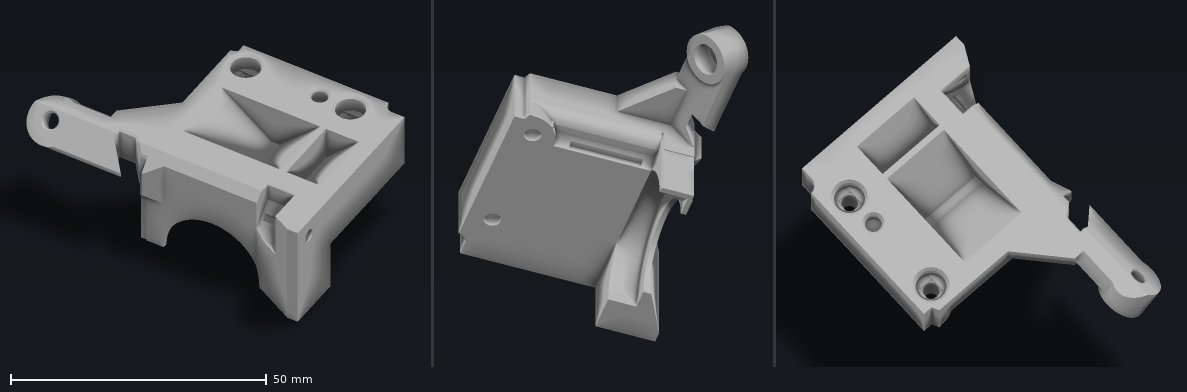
import math
import cadquery as cq

LENGTH, DEPTH, HEIGHT = 65.0, 42.5, 23.0
MARGIN = 3.25

PLATE_BOTTOM = 11.05
BODY_LEFT = 25.5
WALL_LEFT = 25.7
FRONT_FACE = 5.45
WALL_BACK = 12.4
WALL_CHAMFER = 0.6
RIGHT_STEP_Y, RIGHT_STEP_X = 40.5, 61.9
RIGHT_STEP_MID, RIGHT_STEP_END = (60.65, 41.15), 60.05
LEFT_STEP_X, LEFT_STEP_TOP, LEFT_STEP_BOTTOM = 26.9, 40.4, 39.8
WEDGE_START, WEDGE_END = 52.2, 62.6
STRIP_RIGHT = 27.1
STRIP_RELIEF = 0.2

BRACKET_BOTTOM = 18.4
BRACKET_CORNER = (15.65, 12.95)
BRACKET_TOP_Y = 21.7

SLANT = 48.0
SLANT_TOP_Y = 7.2

ARM_RADIUS = 5.0
ARM_STRETCH = 0.4
ARM_FRONT = -7.75
ARM_OVERLAP = 0.65
ARM_THICKNESS = 5.5
PAD_THICKNESS = 6.7
ARM_FRONT_TRIM = 2.5
ARM_HOLE_D, ARM_HOLE_CHAMFER = 3.3, 0.3
ARM_BORE_D, ARM_BORE_START = 6.3, 2.2
PAD_CENTRE = ARM_FRONT + ARM_RADIUS + ARM_STRETCH / 2

NOTCH_LEFT, NOTCH_BACK = 19.2, 8.3
NOTCH_KNEE_Y = 6.3
NOTCH_BACK_RIGHT = 22.8
NOTCH_CHAMFER = 0.4
NOTCH_RIM_LOW = 20.9
PICK = 0.05

CATCH_FRONT = 3.6
CATCH_TIP, CATCH_END = 27.55, 31.1
CATCH_BOTTOM = 11.3
CATCH_OVERLAP = 0.65

ARCH_X, ARCH_RADIUS = 42.1, 11.1
LIP_BACK, CAVITY_RADIUS = 6.55, 15.3

SCREW_Y = 37.5
SCREW_XS = (30.4, 54.4)
BORE_D, BORE_DEPTH = 6.2, 3.5
SCREW_D = 3.3
BRIDGE_STEP = 0.3
PIN_X, PIN_D, PIN_DEPTH = 47.4, 3.4, 3.25
RIM_CHAMFER = 0.5

POCKET_FRONT, POCKET_BACK = 14.5, 29.5
POCKET_FLOOR = 14.1
HOPPER_LEFT, HOPPER_RIGHT = 29.6, 52.3
FLOOR_LEFT, FLOOR_RIGHT = 41.15, 43.1
RAMP_LEFT, RAMP_RIGHT = 53.6, 61.15
POCKET_PROFILES = [
    [(HOPPER_LEFT, HEIGHT), (FLOOR_LEFT, POCKET_FLOOR), (FLOOR_RIGHT, POCKET_FLOOR), (HOPPER_RIGHT, HEIGHT)],
    [(RAMP_LEFT, HEIGHT), (RAMP_LEFT, HEIGHT - (RAMP_RIGHT - RAMP_LEFT)), (RAMP_RIGHT, HEIGHT)],
]

SEAT_LEFT, SEAT_RIGHT, SEAT_BACK = 52.3, 58.45, 9.55
SEAT_WALL_BOTTOM, SEAT_FLOOR, SEAT_FLOOR_Y = 19.05, 13.1, 4.2
CROSS_HOLE_D, CROSS_HOLE_Y, CROSS_HOLE_Z = 2.8, 4.3, 19.25

SEAT_RIM = 0.25

SEAT_SLOT_X, SEAT_SLOT_SHIFT = 55.2, 0.04
SEAT_SLOT_LENGTH, SEAT_SLOT_WIDTH, SEAT_SLOT_DEPTH, SEAT_SLOT_FLARE = 4.5, 1.2, 0.8, 0.3

RECESS_TOP, RECESS_CEILING = 15.65, 12.7
RECESS_BACK, RECESS_RIGHT = 39.2, 31.85
SHOULDER_DEPTH, SHOULDER_MID = 2.2, (26.1, 13.85)
STEP_X, STEP_MID = 29.6, (30.95, 12.0)
ROUND_CENTRE, ROUND_RADIUS = (31.85, 38.9), 6.25
GROOVE_BOTTOM, GROOVE_TOP, GROOVE_RIGHT = 11.4, 12.3, 31.85
RIB_LEFT, RIB_RIGHT, RIB_FRONT, RIB_BACK = 27.1, 27.95, 34.3, 34.85


def prism(points, bottom, top):
    """Vertical prism over an XY outline."""
    return cq.Workplane("XY").workplane(offset=bottom).polyline(points).close().extrude(top - bottom)


def side_prism(points, left, right):
    """Prism along X over a YZ outline."""
    return cq.Workplane("YZ").workplane(offset=left).polyline(points).close().extrude(right - left)


def box(x0, x1, y0, y1, z0, z1):
    return prism([(x0, y0), (x1, y0), (x1, y1), (x0, y1)], z0, z1)


def slant_plane():
    """Workplane on the slanted plane: local x is X, local y climbs the slope."""
    a = math.radians(SLANT)
    return cq.Workplane(cq.Plane((0, SLANT_TOP_Y, HEIGHT), (1, 0, 0), (0, -math.sin(a), math.cos(a))))


def body():
    plate = (
        cq.Workplane("XY").workplane(offset=PLATE_BOTTOM)
        .moveTo(BODY_LEFT, FRONT_FACE)
        .lineTo(LENGTH, FRONT_FACE)
        .lineTo(LENGTH, RIGHT_STEP_Y)
        .lineTo(RIGHT_STEP_X, RIGHT_STEP_Y)
        .threePointArc(RIGHT_STEP_MID, (RIGHT_STEP_END, DEPTH))
        .lineTo(LEFT_STEP_X, DEPTH)
        .lineTo(LEFT_STEP_X, LEFT_STEP_TOP)
        .lineTo(BODY_LEFT, LEFT_STEP_BOTTOM)
        .close().extrude(HEIGHT - PLATE_BOTTOM)
    )
    wall = prism([
        (BODY_LEFT, FRONT_FACE), (WEDGE_START, FRONT_FACE), (WEDGE_END, 0), (LENGTH, 0),
        (LENGTH, WALL_BACK), (BODY_LEFT + WALL_CHAMFER, WALL_BACK), (BODY_LEFT, WALL_BACK - WALL_CHAMFER),
    ], 0, HEIGHT).cut(box(0, WALL_LEFT, 0, DEPTH, 0, PLATE_BOTTOM))
    bracket = prism([
        (BODY_LEFT, SLANT_TOP_Y), (BODY_LEFT, BRACKET_TOP_Y), BRACKET_CORNER,
        (BRACKET_CORNER[0], SLANT_TOP_Y),
    ], BRACKET_BOTTOM, HEIGHT)
    return plate.union(wall).union(bracket)


def arm():
    bar = (
        slant_plane().moveTo(ARM_RADIUS, ARM_FRONT)
        .lineTo(BODY_LEFT + ARM_OVERLAP, ARM_FRONT)
        .lineTo(BODY_LEFT + ARM_OVERLAP, ARM_FRONT + 2 * ARM_RADIUS)
        .lineTo(ARM_RADIUS, ARM_FRONT + 2 * ARM_RADIUS)
        .close().extrude(-ARM_THICKNESS)
        .cut(box(ARM_RADIUS, LENGTH, -MARGIN, ARM_FRONT_TRIM, 0, HEIGHT))
    )
    pad = (
        slant_plane().center(ARM_RADIUS, PAD_CENTRE)
        .slot2D(2 * ARM_RADIUS + ARM_STRETCH, 2 * ARM_RADIUS, 90).extrude(-PAD_THICKNESS)
    )
    return bar.union(pad)


def catch():
    outline = prism([
        (STRIP_RIGHT, FRONT_FACE + CATCH_OVERLAP), (STRIP_RIGHT, CATCH_FRONT), (CATCH_TIP, CATCH_FRONT),
        (CATCH_END, FRONT_FACE), (CATCH_END, FRONT_FACE + CATCH_OVERLAP),
    ], CATCH_BOTTOM, HEIGHT)
    rise = FRONT_FACE - CATCH_FRONT
    underside = side_prism([
        (CATCH_FRONT, CATCH_BOTTOM), (FRONT_FACE, CATCH_BOTTOM), (CATCH_FRONT, CATCH_BOTTOM + rise),
    ], STRIP_RIGHT, CATCH_END)
    return outline.cut(underside)


def notch():
    reach = NOTCH_KNEE_Y + MARGIN
    strip_y = FRONT_FACE + STRIP_RELIEF
    return prism([
        (NOTCH_LEFT, NOTCH_KNEE_Y), (NOTCH_LEFT, NOTCH_BACK), (NOTCH_BACK_RIGHT, NOTCH_BACK),
        (BODY_LEFT, strip_y), (STRIP_RIGHT, strip_y), (STRIP_RIGHT, -MARGIN), (NOTCH_LEFT + reach, -MARGIN),
    ], -MARGIN, HEIGHT + MARGIN)


def rim_bore(x, diameter, depth):
    """Blind hole from the top face with a chamfered rim."""
    hole = cq.Workplane("XY").workplane(offset=HEIGHT).center(x, SCREW_Y).circle(diameter / 2).extrude(-depth)
    rim = (
        cq.Workplane("XY").workplane(offset=HEIGHT).center(x, SCREW_Y)
        .circle(diameter / 2 + RIM_CHAMFER).extrude(-RIM_CHAMFER, taper=45)
    )
    return hole.union(rim)


def screw_hole(x):
    floor = HEIGHT - BORE_DEPTH
    half = SCREW_D / 2
    bore = rim_bore(x, BORE_D, BORE_DEPTH)
    slot = (
        cq.Workplane("XY").workplane(offset=floor).center(x, SCREW_Y).circle(BORE_D / 2).extrude(-BRIDGE_STEP)
        .intersect(box(x - BORE_D, x + BORE_D, SCREW_Y - half, SCREW_Y + half, 0, HEIGHT))
    )
    square = box(x - half, x + half, SCREW_Y - half, SCREW_Y + half, floor - 2 * BRIDGE_STEP, floor)
    shaft = cq.Workplane("XY").center(x, SCREW_Y).circle(half).extrude(floor)
    return bore.union(slot).union(square).union(shaft)


def top_pocket(profile):
    """Pocket with a constant XZ profile between the two pocket walls."""
    return (
        cq.Workplane("XZ", origin=(0, POCKET_BACK, 0))
        .polyline(profile).close().extrude(POCKET_BACK - POCKET_FRONT)
    )


def seat():
    """Corner pocket with a sloped floor, a flat front floor and a chamfered top rim."""
    pocket = side_prism([
        (SEAT_BACK, HEIGHT), (SEAT_BACK, SEAT_WALL_BOTTOM), (SEAT_FLOOR_Y, SEAT_FLOOR),
        (-MARGIN, SEAT_FLOOR), (-MARGIN, HEIGHT),
    ], SEAT_LEFT, SEAT_RIGHT)
    rim_length = SEAT_BACK + SEAT_RIM + MARGIN
    rim = (
        cq.Workplane("XY").workplane(offset=HEIGHT)
        .center((SEAT_LEFT + SEAT_RIGHT) / 2, SEAT_BACK + SEAT_RIM - rim_length / 2)
        .rect(SEAT_RIGHT - SEAT_LEFT + 2 * SEAT_RIM, rim_length)
        .extrude(-SEAT_RIM, taper=45)
    )
    slope = FRONT_FACE / (WEDGE_END - WEDGE_START)
    edge_y = slope * (WEDGE_END - SEAT_RIGHT)
    bevel = prism([
        (SEAT_RIGHT, edge_y + 2 * SEAT_RIM), (SEAT_RIGHT, edge_y - MARGIN),
        (SEAT_RIGHT + SEAT_RIM, edge_y - MARGIN), (SEAT_RIGHT + SEAT_RIM, edge_y - slope * SEAT_RIM),
    ], SEAT_FLOOR, HEIGHT)
    return pocket.union(rim).union(bevel)


def seat_slot():
    """Narrow slot with a flared mouth, square to the sloped floor of the corner pocket."""
    rise = SEAT_WALL_BOTTOM - SEAT_FLOOR
    run = SEAT_BACK - SEAT_FLOOR_Y
    centre = (
        SEAT_SLOT_X,
        (SEAT_BACK + SEAT_FLOOR_Y) / 2 + SEAT_SLOT_SHIFT * run,
        (SEAT_WALL_BOTTOM + SEAT_FLOOR) / 2 + SEAT_SLOT_SHIFT * rise,
    )
    plane = cq.Workplane(cq.Plane(centre, (1, 0, 0), (0, -rise, run)))
    slot = plane.rect(SEAT_SLOT_LENGTH, SEAT_SLOT_WIDTH).extrude(-SEAT_SLOT_DEPTH)
    mouth = plane.rect(
        SEAT_SLOT_LENGTH + 2 * SEAT_SLOT_FLARE, SEAT_SLOT_WIDTH + 2 * SEAT_SLOT_FLARE,
    ).extrude(-SEAT_SLOT_FLARE, taper=45)
    return slot.union(mouth)


def cross_hole():
    """Hole from the corner pocket out through the right side."""
    return (
        cq.Workplane("YZ").workplane(offset=SEAT_RIGHT - MARGIN).center(CROSS_HOLE_Y, CROSS_HOLE_Z)
        .circle(CROSS_HOLE_D / 2).extrude(LENGTH - SEAT_RIGHT + 2 * MARGIN)
    )


def arch():
    """Arch through the front lip, opening into a wider round cavity behind it."""
    lip = cq.Workplane("XZ").center(ARCH_X, 0).circle(ARCH_RADIUS).extrude(-WALL_BACK)
    cavity = (
        cq.Workplane("XZ", origin=(0, LIP_BACK, 0)).center(ARCH_X, 0)
        .circle(CAVITY_RADIUS).extrude(LIP_BACK - WALL_BACK)
    )
    return lip.union(cavity)


def side_recess():
    """Undercut along the lower left edge: a rounded shoulder, a step and a second rounding."""
    start = BODY_LEFT + SHOULDER_DEPTH
    trough = (
        cq.Workplane("XZ", origin=(0, RECESS_BACK, 0))
        .moveTo(BODY_LEFT - MARGIN, PLATE_BOTTOM)
        .lineTo(BODY_LEFT - MARGIN, RECESS_TOP)
        .lineTo(BODY_LEFT, RECESS_TOP)
        .threePointArc(SHOULDER_MID, (start, RECESS_CEILING))
        .lineTo(STEP_X, RECESS_CEILING)
        .threePointArc(STEP_MID, (RECESS_RIGHT, PLATE_BOTTOM))
        .close().extrude(RECESS_BACK - WALL_BACK)
    )
    corner = cq.Workplane("XY").center(*ROUND_CENTRE).circle(ROUND_RADIUS).extrude(HEIGHT)
    rib = box(RIB_LEFT, RIB_RIGHT, RIB_FRONT, RIB_BACK, 0, HEIGHT)
    groove = box(BODY_LEFT, GROOVE_RIGHT, POCKET_FRONT, POCKET_BACK, GROOVE_BOTTOM, GROOVE_TOP)
    wall_bevel = prism([
        (BODY_LEFT, WALL_BACK), (BODY_LEFT, WALL_BACK - WALL_CHAMFER), (BODY_LEFT + WALL_CHAMFER, WALL_BACK),
    ], PLATE_BOTTOM, RECESS_TOP)
    return trough.cut(corner).cut(rib).union(groove).union(wall_bevel)


def arm_hole():
    """Screw hole square to the slanted plane, chamfered in front and counterbored from the rear."""
    plane = slant_plane().center(ARM_RADIUS, PAD_CENTRE)
    hole = plane.circle(ARM_HOLE_D / 2).extrude(-PAD_THICKNESS)
    bore = plane.workplane(offset=-ARM_BORE_START).circle(ARM_BORE_D / 2).extrude(-PAD_THICKNESS)
    mouth = plane.circle(ARM_HOLE_D / 2 + ARM_HOLE_CHAMFER).extrude(-ARM_HOLE_CHAMFER, taper=45)
    return hole.union(bore).union(mouth)


solid = body().union(arm()).union(catch())
solid = solid.cut(slant_plane().rect(2 * SEAT_LEFT, DEPTH).extrude(DEPTH))
solid = solid.intersect(box(0, LENGTH, 0, DEPTH, 0, HEIGHT))

solid = solid.cut(notch())
rim_edges = cq.selectors.BoxSelector(
    (NOTCH_LEFT - PICK, FRONT_FACE, NOTCH_RIM_LOW),
    (STRIP_RIGHT - PICK, NOTCH_BACK + PICK, HEIGHT + PICK),
)
solid = solid.edges(rim_edges).chamfer(NOTCH_CHAMFER)

solid = solid.cut(arch()).cut(side_recess())
for screw_x in SCREW_XS:
    solid = solid.cut(screw_hole(screw_x))
solid = solid.cut(rim_bore(PIN_X, PIN_D, PIN_DEPTH))
for profile in POCKET_PROFILES:
    solid = solid.cut(top_pocket(profile))
result = solid.cut(seat()).cut(seat_slot()).cut(cross_hole()).cut(arm_hole())